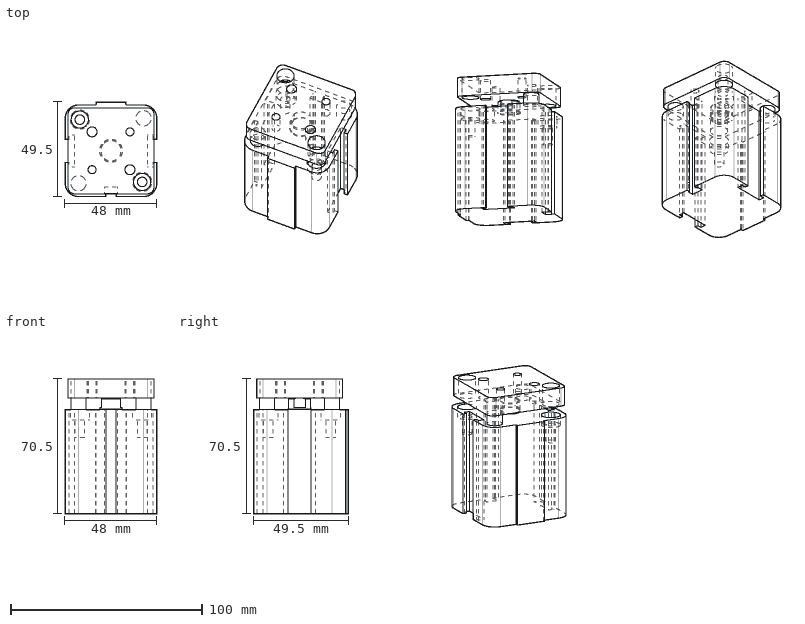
import cadquery as cq

housing_side = 48.0
housing_height = 54.5
housing_corner_radius = 7.0

rail_width = 15.6
rail_height = 1.5
rail_foot_chamfer = 0.3

slot_depth = 5.0
side_slot_mouth = 12.0
side_slot_inner = 16.7
side_slot_lip = 2.0
sensor_slot_mouth = 5.3
sensor_slot_inner = 6.6
sensor_slot_lip = 1.75

mount_offset = 16.3
mount_hole_diameter = 5.0
mount_counterbore_diameter = 10.0
mount_counterbore_depth = 5.4
mount_hole_depth = 14.5

plate_gap = 6.0
plate_side = 45.0
plate_thickness = 10.0
plate_corner_radius = 3.5

access_hole_diameter = 9.0
fixing_offset = 9.9
dowel_hole_diameter = 5.2
screw_hole_diameter = 4.2

pin_diameter = 8.0
pin_offset = 17.0

rod_diameter = 11.7
rod_collar_diameter = 12.0
rod_collar_height = 0.4
rod_chamfer = 0.5
flat_width = 10.0
flat_start = 1.1

half_side = housing_side / 2
plate_bottom = housing_height + plate_gap


def rising_diagonal(offset):
    """Two opposite corners: (-X, -Y) and (+X, +Y)."""
    return [(-offset, -offset), (offset, offset)]


def falling_diagonal(offset):
    """Two opposite corners: (-X, +Y) and (+X, -Y)."""
    return [(-offset, offset), (offset, -offset)]


def t_slot(mouth, inner, lip):
    """Full-height T-slot cutter that opens on the -Y face of the housing."""
    neck = (
        cq.Workplane("XY")
        .rect(mouth, 2 * lip)
        .extrude(housing_height)
        .translate((0, -half_side, 0))
    )
    undercut_depth = slot_depth - lip
    undercut = (
        cq.Workplane("XY")
        .rect(inner, undercut_depth)
        .extrude(housing_height)
        .translate((0, -half_side + lip + undercut_depth / 2, 0))
    )
    return neck.union(undercut)


def make_rail():
    """Full-height rail on the +Y face, with small chamfers along its feet."""
    half_rail = rail_width / 2
    foot = half_rail + rail_foot_chamfer
    return (
        cq.Workplane("XY")
        .moveTo(-foot, 0)
        .lineTo(-foot, half_side)
        .lineTo(-half_rail, half_side + rail_foot_chamfer)
        .lineTo(-half_rail, half_side + rail_height)
        .lineTo(half_rail, half_side + rail_height)
        .lineTo(half_rail, half_side + rail_foot_chamfer)
        .lineTo(foot, half_side)
        .lineTo(foot, 0)
        .close()
        .extrude(housing_height)
    )


def make_housing():
    block = (
        cq.Workplane("XY")
        .rect(housing_side, housing_side)
        .extrude(housing_height)
        .edges("|Z")
        .fillet(housing_corner_radius)
    )
    body = block.union(make_rail())

    sensor_slot = t_slot(sensor_slot_mouth, sensor_slot_inner, sensor_slot_lip)
    body = body.cut(sensor_slot)
    side_slot = t_slot(side_slot_mouth, side_slot_inner, side_slot_lip)
    for turn in (-90, 90):
        body = body.cut(side_slot.rotate((0, 0, 0), (0, 0, 1), turn))

    return (
        body.faces(">Z")
        .workplane(origin=(0, 0, housing_height))
        .pushPoints(falling_diagonal(mount_offset))
        .cboreHole(
            mount_hole_diameter,
            mount_counterbore_diameter,
            mount_counterbore_depth,
            depth=mount_hole_depth,
        )
    )


def make_plate():
    plate = (
        cq.Workplane("XY", origin=(0, 0, plate_bottom))
        .rect(plate_side, plate_side)
        .extrude(plate_thickness)
        .edges("|Z")
        .fillet(plate_corner_radius)
    )
    hole_groups = [
        (access_hole_diameter, falling_diagonal(mount_offset)),
        (dowel_hole_diameter, falling_diagonal(fixing_offset)),
        (screw_hole_diameter, rising_diagonal(fixing_offset)),
    ]
    for diameter, points in hole_groups:
        holes = (
            cq.Workplane("XY", origin=(0, 0, plate_bottom))
            .pushPoints(points)
            .circle(diameter / 2)
            .extrude(plate_thickness)
        )
        plate = plate.cut(holes)
    return plate


def make_pins():
    """Two guide pins that stand on the housing and carry the plate."""
    return (
        cq.Workplane("XY", origin=(0, 0, housing_height))
        .pushPoints(rising_diagonal(pin_offset))
        .circle(pin_diameter / 2)
        .extrude(plate_gap)
    )


def make_rod():
    """Piston rod with a chamfered top, two wrench flats and a thin base collar."""
    rod = (
        cq.Workplane("XY", origin=(0, 0, housing_height))
        .circle(rod_diameter / 2)
        .extrude(plate_gap)
        .faces(">Z")
        .chamfer(rod_chamfer)
    )
    flat_stock_side = rod_diameter
    flat_stock_center = (flat_width + flat_stock_side) / 2
    flat_stock = (
        cq.Workplane("XY", origin=(0, 0, housing_height + flat_start))
        .pushPoints([(-flat_stock_center, 0), (flat_stock_center, 0)])
        .rect(flat_stock_side, flat_stock_side)
        .extrude(plate_gap - flat_start)
    )
    collar = (
        cq.Workplane("XY", origin=(0, 0, housing_height))
        .circle(rod_collar_diameter / 2)
        .extrude(rod_collar_height)
    )
    return rod.cut(flat_stock).union(collar)


def make_yoke():
    return make_plate().union(make_pins()).union(make_rod())


housing = make_housing().solids()
yoke = make_yoke().solids()

result = cq.Compound.makeCompound([housing.val(), yoke.val()])